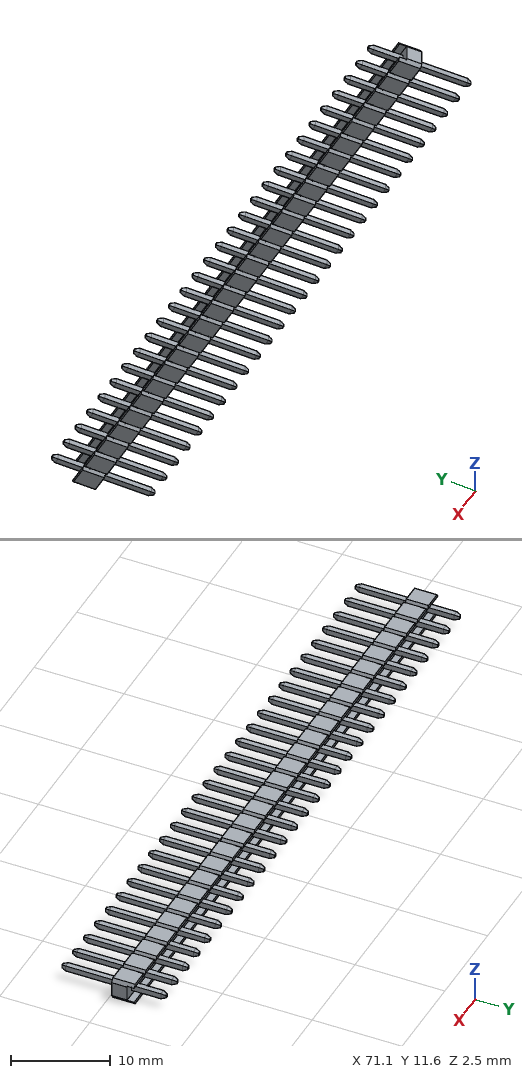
import cadquery as cq

PIN_COUNT = 28
HEADER_LENGTH = 71.1
BODY_HEIGHT = 2.5
BODY_DEPTH = 2.5
PIN_WIDTH = 0.65
PIN_OFFSET = -0.1
PIN_LENGTH = 11.6
PIN_FRONT_REACH = 6.1
TIP_LENGTH = 0.5
TIP_WIDTH = 0.32
CORNER_RUN = 0.3
CORNER_RISE = 0.4
CHANNEL_DEPTH = 0.8
LIP_THICKNESS = 0.35

PITCH = HEADER_LENGTH / PIN_COUNT
SHANK_LENGTH = PIN_LENGTH - 2 * TIP_LENGTH
CHANNEL_HEIGHT = BODY_HEIGHT - 2 * LIP_THICKNESS
CELL_CENTRES = [(i - (PIN_COUNT - 1) / 2) * PITCH for i in range(PIN_COUNT)]


def make_cell(x):
    """One housing cell: an octagon in XZ, extruded towards the rear (+Y)."""
    half_width = PITCH / 2
    half_height = BODY_HEIGHT / 2
    inner_x = half_width - CORNER_RUN
    inner_z = half_height - CORNER_RISE
    outline = [
        (-inner_x, -half_height),
        (inner_x, -half_height),
        (half_width, -inner_z),
        (half_width, inner_z),
        (inner_x, half_height),
        (-inner_x, half_height),
        (-half_width, inner_z),
        (-half_width, -inner_z),
    ]
    return cq.Workplane("XZ").center(x, 0).polyline(outline).close().extrude(-BODY_DEPTH)


def make_channel():
    """Open channel that runs the whole length of the rear face."""
    return (
        cq.Workplane("XY")
        .box(HEADER_LENGTH, CHANNEL_DEPTH, CHANNEL_HEIGHT)
        .translate((0, BODY_DEPTH - CHANNEL_DEPTH / 2, 0))
    )


def make_pin(x):
    """Square pin along Y for the cell at x, with a pyramid-shaped tip at both ends."""
    shank = cq.Workplane("XZ").rect(PIN_WIDTH, PIN_WIDTH).extrude(SHANK_LENGTH / 2, both=True)
    front_tip = (
        cq.Workplane("XZ", origin=(0, -SHANK_LENGTH / 2, 0))
        .rect(PIN_WIDTH, PIN_WIDTH)
        .workplane(offset=TIP_LENGTH)
        .rect(TIP_WIDTH, TIP_WIDTH)
        .loft(ruled=True)
    )
    rear_tip = front_tip.mirror("XZ")
    pin = shank.union(front_tip).union(rear_tip)
    return pin.translate((x + PIN_OFFSET, PIN_LENGTH / 2 - PIN_FRONT_REACH, 0))


def fuse(solids):
    """Join a list of single-solid workplanes into one body."""
    first, *others = [solid.val() for solid in solids]
    return cq.Workplane(obj=first.fuse(*others).clean())


body = fuse([make_cell(x) for x in CELL_CENTRES]).cut(make_channel())
result = fuse([body] + [make_pin(x) for x in CELL_CENTRES])